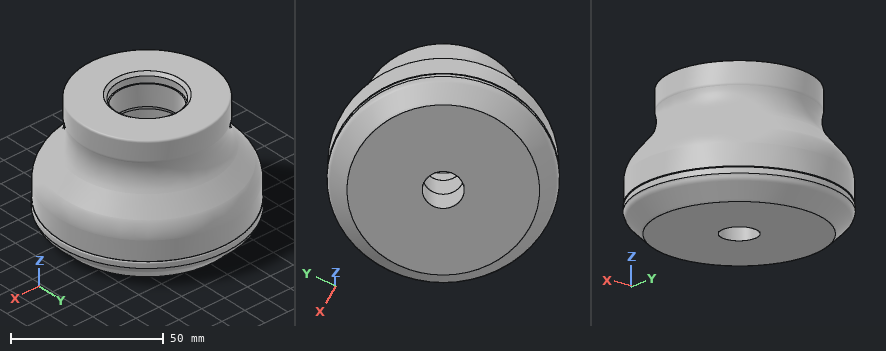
import cadquery as cq
import math

total_height = 50.8
base_height = 9.9
through_hole_radius = 6.9

collar_radius = 27.8
collar_top_round = 0.9
collar_bottom_z = 42.8
neck_curve_top_z = 41.9
neck_radius = 27.25
neck_z = 39.0
neck_curve_radius = 12.0
flank_tilt = math.radians(40)
shoulder_curve_radius = 10.0
skirt_radius = 37.95
skirt_bottom_chamfer = 0.2

mouth_radius = 13.2
mouth_chamfer = 1.2
mouth_depth = 4.0
land_radius = 12.7
land_bottom_depth = 12.9
land_flare_height = 1.2
floor_depth = 30.55
chamber_corner_round = 0.7
floor_hole_round = 0.8

base_radius = 38.2
base_top_round = 0.7
rim_bottom_z = 7.55
rim_bevel = (38.0, 7.1)
step_bottom = (37.95, 6.95)
corner_curve_top = (37.8, 6.4)
cone_top = (37.1, 5.3)
foot_chamfer_top = (32.15, 0.45)
foot_radius = 31.6


def revolve_about_z(profile):
    """Turn a closed (radius, z) profile a full turn about the Z axis."""
    return profile.close().revolve(360, (0, 0, 0), (0, 1, 0))


def arc_point(center, radius, angle):
    """Point on a circle in the (radius, z) plane."""
    return (center[0] + radius * math.cos(angle), center[1] + radius * math.sin(angle))


def housing_outside():
    """Collar, concave neck, conical flank and rounded shoulder down to the skirt."""
    neck_center = (neck_radius + neck_curve_radius, neck_z)
    rise_angle = math.asin((neck_curve_top_z - neck_z) / neck_curve_radius)
    neck_top = arc_point(neck_center, neck_curve_radius, math.pi - rise_angle)
    neck_bottom = arc_point(neck_center, neck_curve_radius, math.pi + flank_tilt)

    shoulder_center_r = skirt_radius - shoulder_curve_radius
    flank_width = shoulder_center_r + shoulder_curve_radius * math.cos(flank_tilt) - neck_bottom[0]
    flank_bottom_z = neck_bottom[1] - flank_width / math.tan(flank_tilt)
    shoulder_center = (shoulder_center_r, flank_bottom_z - shoulder_curve_radius * math.sin(flank_tilt))

    profile = (
        cq.Workplane("XZ")
        .moveTo(0, total_height)
        .lineTo(collar_radius - collar_top_round, total_height)
        .tangentArcPoint((collar_radius, total_height - collar_top_round), relative=False)
        .lineTo(collar_radius, collar_bottom_z)
        .tangentArcPoint(neck_top, relative=False)
        .threePointArc((neck_radius, neck_z), neck_bottom)
        .lineTo(*arc_point(shoulder_center, shoulder_curve_radius, flank_tilt))
        .threePointArc(
            arc_point(shoulder_center, shoulder_curve_radius, flank_tilt / 2),
            arc_point(shoulder_center, shoulder_curve_radius, 0),
        )
        .lineTo(skirt_radius, base_height + skirt_bottom_chamfer)
        .lineTo(skirt_radius - skirt_bottom_chamfer, base_height)
        .lineTo(0, base_height)
    )
    return revolve_about_z(profile)


def housing_bore():
    """Chamfered mouth, guide land, wider chamber and the rounded hole in its floor."""
    floor_z = total_height - floor_depth
    land_bottom_z = total_height - land_bottom_depth
    profile = (
        cq.Workplane("XZ")
        .moveTo(0, total_height)
        .lineTo(mouth_radius + mouth_chamfer, total_height)
        .lineTo(mouth_radius, total_height - mouth_chamfer)
        .lineTo(mouth_radius, total_height - mouth_depth)
        .lineTo(land_radius, total_height - mouth_depth)
        .lineTo(land_radius, land_bottom_z)
        .lineTo(mouth_radius, land_bottom_z - land_flare_height)
        .lineTo(mouth_radius, floor_z + chamber_corner_round)
        .tangentArcPoint((mouth_radius - chamber_corner_round, floor_z), relative=False)
        .lineTo(through_hole_radius + floor_hole_round, floor_z)
        .tangentArcPoint((through_hole_radius, floor_z - floor_hole_round), relative=False)
        .lineTo(through_hole_radius, base_height)
        .lineTo(0, base_height)
    )
    return revolve_about_z(profile)


def make_housing():
    return housing_outside().cut(housing_bore())


def make_base():
    """Ring-shaped base: rounded rim, fine step, curved corner and conical underside."""
    profile = (
        cq.Workplane("XZ")
        .moveTo(through_hole_radius, base_height)
        .lineTo(base_radius - base_top_round, base_height)
        .tangentArcPoint((base_radius, base_height - base_top_round), relative=False)
        .lineTo(base_radius, rim_bottom_z)
        .lineTo(*rim_bevel)
        .lineTo(*step_bottom)
        .lineTo(*corner_curve_top)
        .tangentArcPoint(cone_top, relative=False)
        .lineTo(*foot_chamfer_top)
        .lineTo(foot_radius, 0)
        .lineTo(through_hole_radius, 0)
    )
    return revolve_about_z(profile)


housing = make_housing()
base = make_base()

result = cq.Compound.makeCompound([housing.val(), base.val()])